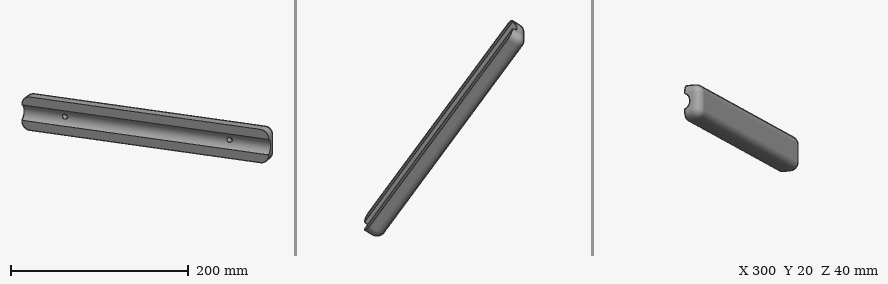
import cadquery as cq

length = 300.0
thickness = 20.0
height = 40.0

edge_radius = 10.0

groove_radius = 10.0
groove_depth = 6.3

hole_diameter = 6.0
hole_spacing = 200.0
hole_depth = 9.0

front_y = -thickness / 2
groove_floor_y = front_y + groove_depth


def rounded_bar():
    """Bar with round corners and a fully rounded rim on its back face."""
    bar = cq.Workplane("XY").box(length, thickness, height)
    return bar.edges("|Y").fillet(edge_radius).faces(">Y").edges().fillet(edge_radius)


def groove_cutter():
    """Cylinder that runs along the bar and forms the groove."""
    return (
        cq.Workplane("YZ")
        .center(groove_floor_y - groove_radius, 0)
        .circle(groove_radius)
        .extrude(length / 2, both=True)
    )


def hole_cutter(x):
    """Blind hole that starts at the grooved face and goes below the groove floor."""
    return (
        cq.Workplane("XZ", origin=(x, front_y, 0))
        .circle(hole_diameter / 2)
        .extrude(-(groove_depth + hole_depth))
    )


result = rounded_bar().cut(groove_cutter())
for side in (-1, 1):
    result = result.cut(hole_cutter(side * hole_spacing / 2))